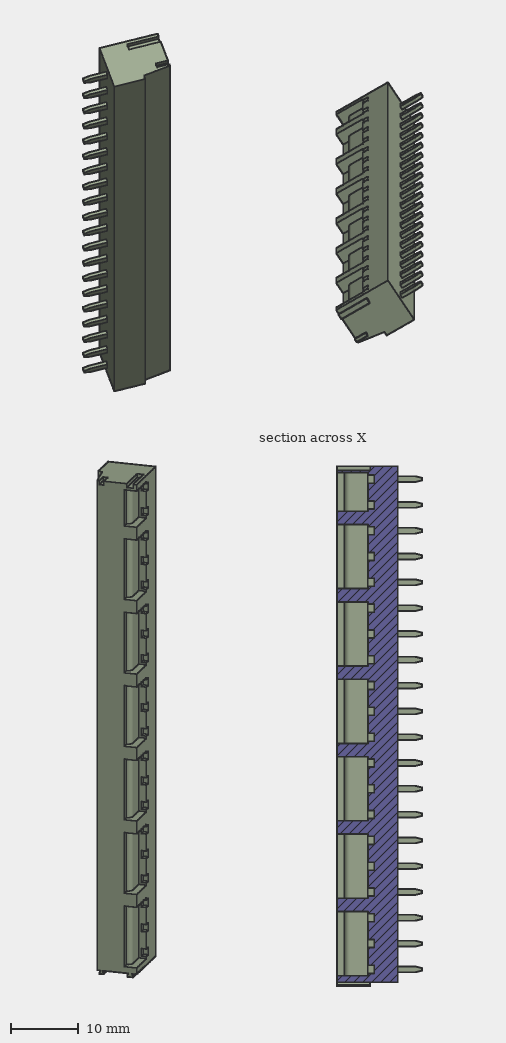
import cadquery as cq
import math

POLE_COUNT = 20
PITCH = 3.81
BODY_HEIGHT = POLE_COUNT * PITCH

BODY_WIDTH = 7.4
BODY_DEPTH = 9.0
BACK_WIDTH = 6.15
SLOPE_FOOT_X = 6.75
SHOULDER_Y = 4.8

PIN_X = BODY_WIDTH / 2
PIN_LENGTH = 3.6
PIN_WIDTH = 0.6
PIN_HEIGHT = 0.9
PIN_TIP_LENGTH = 1.0
PIN_TIP_HEIGHT = 0.4

POLES_PER_RIB = 3
RIB_THICKNESS = 2.0
END_WALL = RIB_THICKNESS / 2
POCKET_LENGTH = 4.6
POCKET_FRONT_DEPTH = 1.2
POCKET_ROUND = 0.75
POCKET_STEP_FROM_BACK = 1.1

NOTCH_LENGTH = 0.9
NOTCH_HEIGHT = 1.15
NOTCH_DEPTH = 0.8

JOINTS = (
    (1.05, 4.9, 0.9, 0.6),
    (5.5, 1.9, 0.6, 0.35),
)
RAIL_HEIGHT = 0.55
RAIL_LAND = 0.2
JOINT_CLEARANCE = 0.05


def box_between(low, high):
    """Axis-aligned box between two opposite corners."""
    size = [b - a for a, b in zip(low, high)]
    return cq.Workplane("XY").box(*size, centered=False).translate(low)


def make_housing():
    """Bar with a sloped +X back corner ending on a small shoulder."""
    outline = [
        (0, 0),
        (BODY_WIDTH, 0),
        (BODY_WIDTH, SHOULDER_Y),
        (SLOPE_FOOT_X, SHOULDER_Y),
        (BACK_WIDTH, BODY_DEPTH),
        (0, BODY_DEPTH),
    ]
    return cq.Workplane("XY").polyline(outline).close().extrude(BODY_HEIGHT)


def make_pocket(bottom, top):
    """Pocket whose floor drops over a rounded step to a deeper level at the back."""
    front_y = BODY_DEPTH - POCKET_LENGTH
    step_y = BODY_DEPTH - POCKET_STEP_FROM_BACK
    back_depth = POCKET_FRONT_DEPTH + POCKET_ROUND
    round_start = (POCKET_FRONT_DEPTH, step_y - POCKET_ROUND)
    diagonal = POCKET_ROUND * math.cos(math.pi / 4)
    round_middle = (back_depth - diagonal, step_y - POCKET_ROUND + diagonal)
    return (
        cq.Workplane("XY", origin=(0, 0, bottom))
        .moveTo(0, front_y)
        .lineTo(POCKET_FRONT_DEPTH, front_y)
        .lineTo(*round_start)
        .threePointArc(round_middle, (back_depth, step_y))
        .lineTo(back_depth, BODY_DEPTH)
        .lineTo(0, BODY_DEPTH)
        .close()
        .extrude(top - bottom)
    )


def make_notch(z):
    """Notch beside a pocket, centred on the pole at height z."""
    pocket_y = BODY_DEPTH - POCKET_LENGTH
    return box_between(
        (0, pocket_y - NOTCH_LENGTH, z - NOTCH_HEIGHT / 2),
        (NOTCH_DEPTH, pocket_y, z + NOTCH_HEIGHT / 2),
    )


def make_pin(z):
    """Rectangular pin along -Y whose tip tapers in height."""
    taper_y = PIN_TIP_LENGTH - PIN_LENGTH
    half = PIN_HEIGHT / 2
    half_tip = PIN_TIP_HEIGHT / 2
    outline = [
        (0, -half),
        (taper_y, -half),
        (-PIN_LENGTH, -half_tip),
        (-PIN_LENGTH, half_tip),
        (taper_y, half),
        (0, half),
    ]
    pin = cq.Workplane("YZ").polyline(outline).close().extrude(PIN_WIDTH / 2, both=True)
    return pin.translate((PIN_X, 0, z))


def make_rail(joint):
    """Rail under the housing, flaring from its neck to a straight-sided tip."""
    centre_x, length, tip_width, neck_width = joint
    land_z = RAIL_LAND - RAIL_HEIGHT
    outline = [
        (-neck_width / 2, 0),
        (-tip_width / 2, land_z),
        (-tip_width / 2, -RAIL_HEIGHT),
        (tip_width / 2, -RAIL_HEIGHT),
        (tip_width / 2, land_z),
        (neck_width / 2, 0),
    ]
    rail = cq.Workplane("XZ").polyline(outline).close().extrude(length)
    return rail.translate((centre_x, BODY_DEPTH, 0))


def make_groove(joint):
    """Straight groove in the top face that takes a rail with clearance beside and beyond its tip."""
    centre_x, length, tip_width, _ = joint
    half_width = tip_width / 2 + JOINT_CLEARANCE
    depth = RAIL_HEIGHT + JOINT_CLEARANCE
    return box_between(
        (centre_x - half_width, BODY_DEPTH - length, BODY_HEIGHT - depth),
        (centre_x + half_width, BODY_DEPTH, BODY_HEIGHT),
    )


pole_heights = [(i + 0.5) * PITCH for i in range(POLE_COUNT)]
rib_heights = [i * PITCH for i in range(POLES_PER_RIB, POLE_COUNT, POLES_PER_RIB)]
pocket_bottoms = [END_WALL] + [z + RIB_THICKNESS / 2 for z in rib_heights]
pocket_tops = [z - RIB_THICKNESS / 2 for z in rib_heights] + [BODY_HEIGHT - END_WALL]

result = make_housing()
for pocket_bottom, pocket_top in zip(pocket_bottoms, pocket_tops):
    result = result.cut(make_pocket(pocket_bottom, pocket_top))
for pole_z in pole_heights:
    result = result.cut(make_notch(pole_z))
    result = result.union(make_pin(pole_z))
for stacking_joint in JOINTS:
    result = result.cut(make_groove(stacking_joint))
    result = result.union(make_rail(stacking_joint))